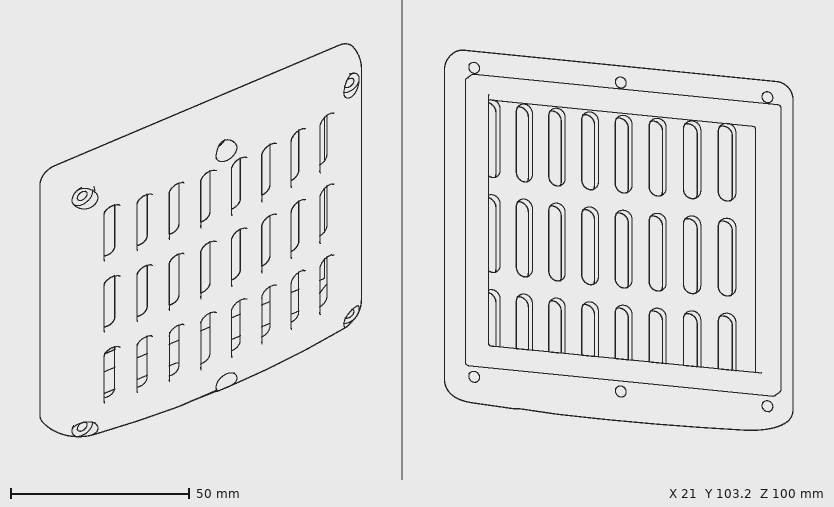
import cadquery as cq
import math

WIDTH = 103.2
HEIGHT = 100.0
DEPTH = 21.0

RIM_DEPTH = 4.7
RIM_WIDTH = 92.8
RIM_HEIGHT = 83.9
RIM_ROUND = 1.0

OPENING_WIDTH = 81.7
OPENING_HEIGHT = 73.4
OPENING_CORNER = 0.6
OPENING_ROUND = 1.0

END_RADIUS = 12.5
EDGE_ROUND = 5.0
LIP = 0.7
BACK_ROUND = 0.5
WALL = 4.9
FLANGE_THICKNESS = 2.0
CAVITY_ROUND = 1.4

SLOT_COLUMNS = 8
SLOT_ROWS = 3
SLOT_WIDTH = 5.0
SLOT_LENGTH = 22.6
SLOT_PITCH_Y = 10.0
SLOT_PITCH_Z = 27.7
SLOT_ROUND = 2.0
SLOT_START_X = 10.3

SCREW_DIAMETER = 3.2
HEAD_DIAMETER = 6.8
SEAT_X = 15.1
SCREW_Y = 43.8
SCREW_Z = 45.0

MIDDLE_REACH = 6.3
CORNER_REACH = 7.9
RIDGE_ROUND = 1.0
RIDGE_Z = SCREW_Z - MIDDLE_REACH

END_CENTER_X = RIM_DEPTH + LIP
END_CENTER_Y = WIDTH / 2 - END_RADIUS
DOME_RISE = DEPTH - END_CENTER_X
FRONT_RADIUS = (DOME_RISE**2 + END_CENTER_Y**2 - END_RADIUS**2) / (2 * (DOME_RISE - END_RADIUS))
FRONT_CENTER_X = DEPTH - FRONT_RADIUS
JOIN_ANGLE = math.asin(END_CENTER_Y / (FRONT_RADIUS - END_RADIUS))


def dome(inset, half_height):
    """Extrude the domed X-Y profile, moved inward by inset, over both sides of Z = 0."""
    front = FRONT_RADIUS - inset
    end = END_RADIUS - inset
    end_mid_angle = (JOIN_ANGLE + math.pi / 2) / 2

    def on_front(angle):
        return (FRONT_CENTER_X + front * math.cos(angle), front * math.sin(angle))

    def on_end(angle, side):
        return (END_CENTER_X + end * math.cos(angle), side * (END_CENTER_Y + end * math.sin(angle)))

    profile = (
        cq.Workplane("XY")
        .moveTo(*on_end(math.pi / 2, -1))
        .threePointArc(on_end(end_mid_angle, -1), on_front(-JOIN_ANGLE))
        .threePointArc(on_front(0), on_front(JOIN_ANGLE))
        .threePointArc(on_end(end_mid_angle, 1), on_end(math.pi / 2, 1))
        .lineTo(RIM_DEPTH, END_CENTER_Y + end)
        .lineTo(RIM_DEPTH, -END_CENTER_Y - end)
        .close()
    )
    return profile.extrude(half_height, both=True)


def cover():
    """Solid dome with rounded top and bottom edges and an eased back edge."""
    body = dome(0, HEIGHT / 2)
    body = body.faces("|Z").edges("not(|Y)").fillet(EDGE_ROUND)
    return body.faces("<X").edges().fillet(BACK_ROUND)


def rim():
    """Rounded block behind the flange, reaching into the flange to join it."""
    block = cq.Workplane("YZ").rect(RIM_WIDTH, RIM_HEIGHT).extrude(RIM_DEPTH + FLANGE_THICKNESS / 2)
    return block.edges("|X").fillet(RIM_ROUND).faces("<X").edges().fillet(RIM_ROUND)


def corner_boss(side_y, side_z):
    """Triangular prism that cuts a cavity corner off at 45 degrees, around its screw."""
    edge_sum = SCREW_Y + SCREW_Z - CORNER_REACH
    half_width = WIDTH / 2
    half_height = HEIGHT / 2
    outline = [
        (half_width, edge_sum - half_width),
        (half_width, half_height),
        (edge_sum - half_height, half_height),
    ]
    points = [(side_y * y, side_z * z) for y, z in outline]
    return cq.Workplane("YZ").polyline(points).close().extrude(DEPTH)


def middle_boss(side_z):
    """Gable-shaped prism with 45 degree slopes around a middle screw."""
    run = HEIGHT / 2 - RIDGE_Z
    points = [(0, side_z * RIDGE_Z), (run, side_z * HEIGHT / 2), (-run, side_z * HEIGHT / 2)]
    return cq.Workplane("YZ").polyline(points).close().extrude(DEPTH)


def cavity():
    """Hollow behind the front wall, with the screw bosses left standing."""
    space = dome(WALL, HEIGHT / 2 - WALL)
    flange = cq.Workplane("YZ").rect(WIDTH, HEIGHT).extrude(RIM_DEPTH + FLANGE_THICKNESS)
    space = space.cut(flange)
    for side_z in (-1, 1):
        space = space.cut(middle_boss(side_z))
        for side_y in (-1, 1):
            space = space.cut(corner_boss(side_y, side_z))
    middle_ridges = cq.selectors.BoxSelector((0, -1, -RIDGE_Z - 1), (DEPTH, 1, RIDGE_Z + 1))
    space = space.edges("|X").edges(middle_ridges).fillet(RIDGE_ROUND)
    return space.edges("not %LINE").fillet(CAVITY_ROUND)


def opening():
    """Cutter that joins the back of the rim to the cavity."""
    depth = RIM_DEPTH + FLANGE_THICKNESS
    hole = cq.Workplane("YZ").rect(OPENING_WIDTH, OPENING_HEIGHT).extrude(depth)
    return hole.edges("|X").fillet(OPENING_CORNER)


def round_opening_edge(body):
    """Round the edge of the opening on the back face of the rim."""
    back = body.faces("<X").val()
    return body.newObject(back.innerWires()[0].Edges()).fillet(OPENING_ROUND)


def slot_cutters():
    """Grid of upright round-ended slots that run out through the front wall."""
    return (
        cq.Workplane("YZ", origin=(SLOT_START_X, 0, 0))
        .rarray(SLOT_PITCH_Y, SLOT_PITCH_Z, SLOT_COLUMNS, SLOT_ROWS)
        .slot2D(SLOT_LENGTH, SLOT_WIDTH, 90)
        .extrude(DEPTH)
    )


def slotted_cover():
    """Cover with the slots cut from the front and their outer edges rounded."""
    body = cover().cut(slot_cutters())
    slot_edges = []
    for face in body.faces().vals():
        if len(face.innerWires()) == SLOT_COLUMNS * SLOT_ROWS:
            for wire in face.innerWires():
                slot_edges.extend(wire.Edges())
    return body.newObject(slot_edges).fillet(SLOT_ROUND)


def drill_screws(body):
    """Cut each clearance hole and the counterbore for its screw head."""
    for start_x, diameter in ((0, SCREW_DIAMETER), (SEAT_X, HEAD_DIAMETER)):
        holes = cq.Workplane("YZ", origin=(start_x, 0, 0)).rarray(SCREW_Y, 2 * SCREW_Z, 3, 2)
        body = body.cut(holes.circle(diameter / 2).extrude(DEPTH))
    return body


result = slotted_cover().cut(cavity()).union(rim()).cut(opening())
result = round_opening_edge(result)
result = drill_screws(result)